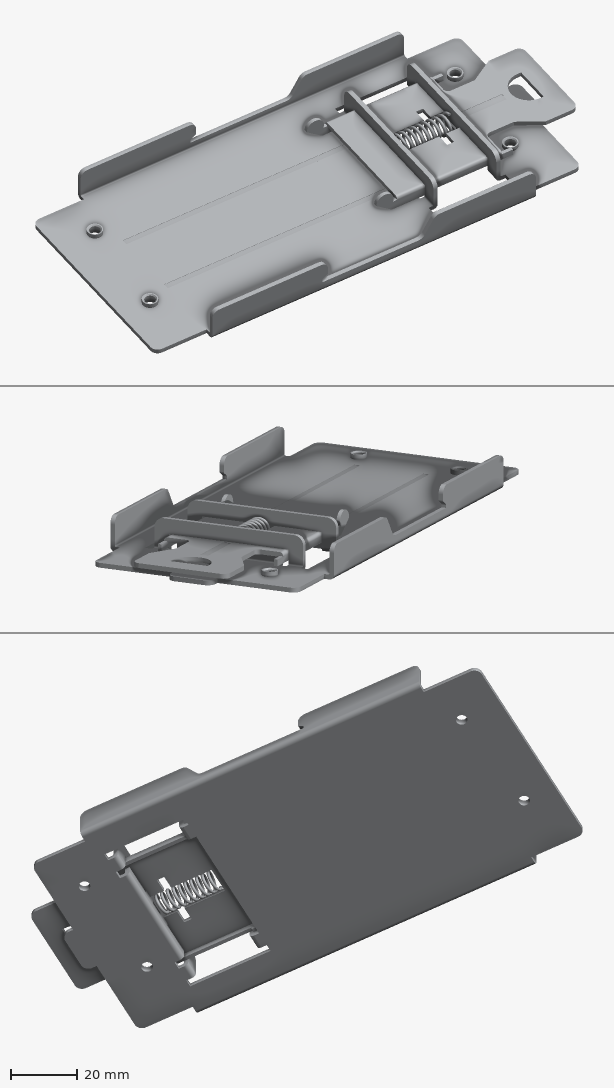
import cadquery as cq
import math

SHEET = 1.5
BEND_INNER = 0.5
BEND_OUTER = 1.5
CORNER = 2.5
OVERALL_WIDTH = 75.25
BEND_RUN = 3.25
WALL_HEIGHT = 11.0
PLATE_WIDTH = OVERALL_WIDTH - 2 * BEND_RUN
PLATE_LENGTH = 153.0
TONGUE_WIDTH = 15.0
TONGUE_REACH = 4.0

FLANGE_LENGTH = 116.0
FLANGE_CORNER = 2.5
WEB_HEIGHT = 3.75
RAMP_TOP_Y = 22.0
RAMP_FOOT_Y = 17.3
HOOK_NOSE_Y = -16.6
HOOK_ROOT_Y = HOOK_NOSE_Y - 2.0
HOOK_NOSE_Z = 6.2
HOOK_ROOT_Z = 4.9
HOOK_ROUND = 0.6

NUT_X = (-20.0, 15.0)
NUT_Y = (65.9, 63.25)
NUT_DIAMETER = 5.0
NUT_HOLE = 3.5
NUT_CHAMFER = 0.4
NUT_TOP = 3.0

GROOVE_DEPTH = 0.1
BASE_GROOVE_X = 11.6
BASE_GROOVE_WIDTH = 2.0
BASE_GROOVE_FRONT = -FLANGE_LENGTH / 2
TAB_GROOVE_WIDTH = 2.65
TAB_GROOVE_FRONT = 54.5
TAB_GROOVE_REAR = 70.7

PORTAL_GAP = 21.0
PORTAL_CENTER_Y = 41.35
PORTAL_WIDTH = 50.0
PORTAL_CORNER = 3.0
WINDOW_WIDTH = 54.8
WINDOW_LENGTH = PORTAL_GAP + 2 * BEND_RUN

SLIDER_SHEET = 1.5
SLIDER_BOTTOM = 4.75
SLIDER_TOP = SLIDER_BOTTOM + SLIDER_SHEET
SLIDER_WIDTH = 40.2
SLIDER_FRONT = 19.45
SLIDER_SHOULDER = 57.0
SLIDER_REAR = 87.2
TAB_WIDTH = 32.0
NECK_WIDTH = 22.0
TAPER_REAR = 75.4
TAPER_FRONT = 67.2
TAB_CORNER = 2.5
SHOULDER_ROUND = 1.5
RAIL_THICKNESS = 1.2
RAIL_BOTTOM = 2.9
RAIL_REAR = 61.0
RAIL_FOOT_BOTTOM = 2.0
RAIL_FOOT_FRONT = 17.5
RAIL_FOOT_REAR = 29.5
EAR_Y = 15.1
EAR_Z = 6.2
EAR_RADIUS = 3.1
FINGER_WIDTH = 12.7
FINGER_REAR = 80.8
FINGER_FRONT = 73.15
SPRING_SLOT_WIDTH = 8.6
CROSS_SLOT_LENGTH = 17.5
CROSS_SLOT_WIDTH = 2.5
CROSS_SLOT_Y = 45.9

STOP_WIDTH = 35.0
STOP_HEIGHT = 3.75
PRONG_OUTER = 13.3
PRONG_INNER = 5.0

WIRE = 1.0
SPRING_OUTER = 7.2
SPRING_PITCH = 2.0
END_ALLOWANCE = 1.5


def rounded_outline(plane, corners):
    """Closed outline through (u, v, radius) corners, each rounded by an arc of its radius."""
    sketch = None
    for i, (u, v, radius) in enumerate(corners):
        here = cq.Vector(u, v)
        before = cq.Vector(*corners[i - 1][:2]) - here
        after = cq.Vector(*corners[(i + 1) % len(corners)][:2]) - here
        half_angle = before.getAngle(after) / 2
        setback = radius / math.tan(half_angle)
        start = here + before.normalized() * setback
        end = here + after.normalized() * setback
        inward = (before.normalized() + after.normalized()).normalized()
        middle = here + inward * (radius / math.sin(half_angle) - radius)
        if sketch is None:
            sketch = cq.Workplane(plane).moveTo(start.x, start.y)
        else:
            sketch = sketch.lineTo(start.x, start.y)
        if radius > 0:
            sketch = sketch.threePointArc((middle.x, middle.y), (end.x, end.y))
    return sketch.close()


def box(x_min, x_max, y_min, y_max, z_min, z_max):
    size = (x_max - x_min, y_max - y_min, z_max - z_min)
    return cq.Workplane("XY").box(*size, centered=False).translate((x_min, y_min, z_min))


def bent_wall(plane, width, height):
    """Strip that leaves a sheet edge at u = 0, runs outward along u and bends up to a height."""
    wall_inner = BEND_RUN - SHEET
    on_diagonal = 1 - math.sqrt(0.5)
    outer_start = BEND_RUN - BEND_OUTER
    outer_middle = (BEND_RUN - BEND_OUTER * on_diagonal, BEND_OUTER * on_diagonal)
    inner_end = wall_inner - BEND_INNER
    inner_top = SHEET + BEND_INNER
    inner_middle = (wall_inner - BEND_INNER * on_diagonal, SHEET + BEND_INNER * on_diagonal)
    return (
        cq.Workplane(plane)
        .lineTo(outer_start, 0)
        .threePointArc(outer_middle, (BEND_RUN, BEND_OUTER))
        .lineTo(BEND_RUN, height)
        .lineTo(wall_inner, height)
        .lineTo(wall_inner, inner_top)
        .threePointArc(inner_middle, (inner_end, SHEET))
        .lineTo(0, SHEET)
        .close()
        .extrude(width / 2, both=True)
    )


def flat_plate():
    half_width = PLATE_WIDTH / 2
    half_length = PLATE_LENGTH / 2
    main = box(-half_width, half_width, -half_length, half_length, 0, SHEET)
    main = main.edges("|Z").fillet(CORNER)
    tongue = box(-TONGUE_WIDTH / 2, TONGUE_WIDTH / 2, 0, half_length + TONGUE_REACH, 0, SHEET)
    return main.union(tongue.edges("|Z and >Y").fillet(CORNER))


def side_flange():
    """Flange on the +X side, with a ramped rear block and a hooked front block above a low web."""
    half = FLANGE_LENGTH / 2
    outline = [
        (half, 0, 0),
        (half, WALL_HEIGHT, FLANGE_CORNER),
        (RAMP_TOP_Y, WALL_HEIGHT, FLANGE_CORNER),
        (RAMP_FOOT_Y, WEB_HEIGHT, FLANGE_CORNER),
        (HOOK_ROOT_Y, WEB_HEIGHT, 0),
        (HOOK_ROOT_Y, HOOK_ROOT_Z, HOOK_ROUND),
        (HOOK_NOSE_Y, HOOK_NOSE_Z, HOOK_ROUND),
        (HOOK_NOSE_Y, WALL_HEIGHT, FLANGE_CORNER),
        (-half, WALL_HEIGHT, FLANGE_CORNER),
        (-half, 0, 0),
    ]
    mask = rounded_outline("YZ", outline).extrude(OVERALL_WIDTH)
    strip = bent_wall("XZ", FLANGE_LENGTH, WALL_HEIGHT).translate((PLATE_WIDTH / 2, 0, 0))
    return strip.intersect(mask)


def nut_centers():
    rear = list(zip(NUT_X, NUT_Y))
    front = [(x, -y) for x, y in zip(NUT_X, reversed(NUT_Y))]
    return cq.Workplane("XY").pushPoints(rear + front)


def press_nuts():
    return nut_centers().circle(NUT_DIAMETER / 2).extrude(NUT_TOP)


def nut_holes():
    """Through holes, widened by a chamfer at the top of each nut."""
    holes = nut_centers().circle(NUT_HOLE / 2).extrude(NUT_TOP)
    return holes.union(
        nut_centers()
        .circle(NUT_HOLE / 2 + NUT_CHAMFER)
        .extrude(NUT_CHAMFER, taper=45)
        .mirror("XY")
        .translate((0, 0, NUT_TOP))
    )


def portal():
    """Portal whose sheet edge lies at Y = 0 and whose wall stands toward +Y."""
    half_opening = SLIDER_WIDTH / 2
    wall = bent_wall("YZ", PORTAL_WIDTH, WALL_HEIGHT)
    wall = wall.edges("|Y and >Z").fillet(PORTAL_CORNER)
    return wall.cut(box(-half_opening, half_opening, 0, BEND_RUN, 0, SLIDER_TOP))


def spring_stop():
    """Low wall with two prongs under the slider, placed like the portal."""
    stop = bent_wall("YZ", STOP_WIDTH, STOP_HEIGHT)
    wall_inner = BEND_RUN - SHEET
    for side in (-1, 1):
        edges = sorted((side * PRONG_INNER / 2, side * PRONG_OUTER / 2))
        stop = stop.union(box(*edges, wall_inner, BEND_RUN, STOP_HEIGHT, SLIDER_BOTTOM))
    return stop


def make_base():
    base = flat_plate()
    flange = side_flange()
    base = base.union(flange).union(flange.mirror("YZ"))

    window_front = PORTAL_CENTER_Y - WINDOW_LENGTH / 2
    window_rear = PORTAL_CENTER_Y + WINDOW_LENGTH / 2
    half_window = WINDOW_WIDTH / 2
    base = base.cut(box(-half_window, half_window, window_front, window_rear, 0, SHEET))

    front_portal = portal().translate((0, window_front, 0))
    rear_portal = portal().union(spring_stop()).mirror("XZ").translate((0, window_rear, 0))
    base = base.union(front_portal).union(rear_portal)

    base = base.union(press_nuts()).cut(nut_holes())

    half_groove = BASE_GROOVE_WIDTH / 2
    for x in (-BASE_GROOVE_X, BASE_GROOVE_X):
        groove_sides = (x - half_groove, x + half_groove)
        groove_ends = (BASE_GROOVE_FRONT, window_front)
        base = base.cut(box(*groove_sides, *groove_ends, SHEET - GROOVE_DEPTH, SHEET))
    return base


def slider_plate():
    half_body = SLIDER_WIDTH / 2 - RAIL_THICKNESS
    right_side = [
        (half_body, SLIDER_FRONT, 0),
        (half_body, SLIDER_SHOULDER, 0),
        (NECK_WIDTH / 2, SLIDER_SHOULDER, SHOULDER_ROUND),
        (NECK_WIDTH / 2, TAPER_FRONT, 0),
        (TAB_WIDTH / 2, TAPER_REAR, 0),
        (TAB_WIDTH / 2, SLIDER_REAR, TAB_CORNER),
    ]
    left_side = [(-x, y, radius) for x, y, radius in reversed(right_side)]
    plate = rounded_outline("XY", right_side + left_side).extrude(SLIDER_SHEET)
    return plate.translate((0, 0, SLIDER_BOTTOM))


def slider_rail():
    """Rail bent down along the +X edge, with a lowered foot and a round ear at the front."""
    outer = SLIDER_WIDTH / 2
    inner = outer - RAIL_THICKNESS
    web_top = SLIDER_TOP - RAIL_THICKNESS
    bend = (
        cq.Workplane("XZ", origin=(inner, SLIDER_SHOULDER, web_top))
        .circle(RAIL_THICKNESS)
        .extrude(SLIDER_SHOULDER - SLIDER_FRONT)
        .intersect(box(inner, outer, SLIDER_FRONT, SLIDER_SHOULDER, web_top, SLIDER_TOP))
    )
    ear_rear = EAR_Y + math.sqrt(EAR_RADIUS**2 - (EAR_Z - web_top) ** 2)
    web = (
        cq.Workplane("YZ", origin=(inner, 0, 0))
        .moveTo(RAIL_FOOT_FRONT, RAIL_FOOT_BOTTOM)
        .lineTo(RAIL_FOOT_REAR, RAIL_FOOT_BOTTOM)
        .lineTo(RAIL_FOOT_REAR, RAIL_BOTTOM)
        .lineTo(RAIL_REAR, RAIL_BOTTOM)
        .lineTo(RAIL_REAR, web_top)
        .lineTo(ear_rear, web_top)
        .threePointArc((EAR_Y, EAR_Z + EAR_RADIUS), (EAR_Y - EAR_RADIUS, EAR_Z))
        .close()
        .extrude(RAIL_THICKNESS)
    )
    return web.union(bend)


def finger_hole():
    """Hole with a straight rear edge and a round front edge."""
    radius = FINGER_WIDTH / 2
    arc_y = FINGER_FRONT + radius
    return (
        cq.Workplane("XY", origin=(0, 0, SLIDER_BOTTOM))
        .moveTo(-radius, FINGER_REAR)
        .lineTo(-radius, arc_y)
        .threePointArc((0, FINGER_FRONT), (radius, arc_y))
        .lineTo(radius, FINGER_REAR)
        .close()
        .extrude(SLIDER_SHEET)
    )


def centered_slot(width, y_min, y_max, depth):
    return box(-width / 2, width / 2, y_min, y_max, SLIDER_TOP - depth, SLIDER_TOP)


def make_slider():
    rail = slider_rail()
    slider = slider_plate().union(rail).union(rail.mirror("YZ"))
    slider = slider.cut(finger_hole())
    slot_front = PORTAL_CENTER_Y - PORTAL_GAP / 2
    slot_rear = PORTAL_CENTER_Y + PORTAL_GAP / 2
    slider = slider.cut(centered_slot(SPRING_SLOT_WIDTH, slot_front, slot_rear, SLIDER_SHEET))
    cross_front = CROSS_SLOT_Y - CROSS_SLOT_WIDTH / 2
    cross_rear = CROSS_SLOT_Y + CROSS_SLOT_WIDTH / 2
    slider = slider.cut(centered_slot(CROSS_SLOT_LENGTH, cross_front, cross_rear, SLIDER_SHEET))
    return slider.cut(centered_slot(TAB_GROOVE_WIDTH, TAB_GROOVE_FRONT, TAB_GROOVE_REAR, GROOVE_DEPTH))


def make_spring():
    """Coil spring between the portals, centred in the thickness of the slider."""
    coil_radius = (SPRING_OUTER - WIRE) / 2
    coil_length = PORTAL_GAP - END_ALLOWANCE * WIRE
    helix = cq.Wire.makeHelix(SPRING_PITCH, coil_length, coil_radius)
    coil = cq.Workplane("XZ", origin=(coil_radius, 0, 0)).circle(WIRE / 2).sweep(helix, isFrenet=True)
    axis_z = SLIDER_BOTTOM + SLIDER_SHEET / 2
    coil = coil.rotate((0, 0, 0), (1, 0, 0), -90)
    return coil.translate((0, PORTAL_CENTER_Y - coil_length / 2, axis_z))


base = make_base()
slider = make_slider()
spring = make_spring()
result = cq.Compound.makeCompound([base.solids().val(), slider.solids().val(), spring.val()])